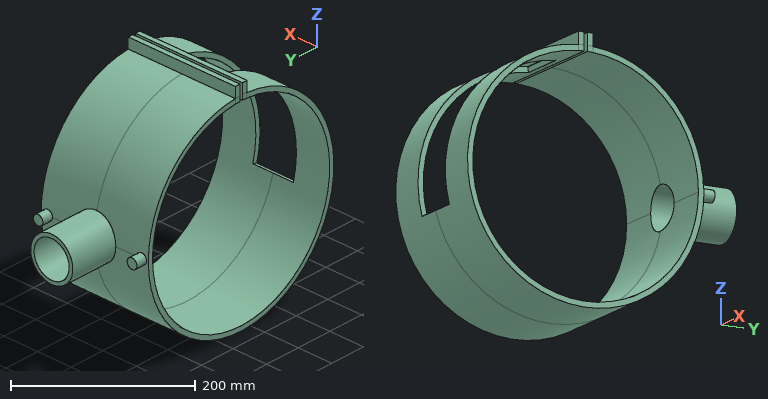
import cadquery as cq
import math

band_width = 160.0
outer_radius = 147.0
wall = 7.0
inner_radius = outer_radius - wall

flange_thickness = 7.2
split_gap = 4.0
flange_top = 161.8

window_width = 60.0
window_low_angle = -15
window_high_angle = 86

pipe_end = 215.0
pipe_diameter = 63.0
bore_diameter = 52.0
pin_diameter = 14.5
pin_end = 162.0
pin_spacing = 140.0


def cylinder_along_x(radius, length):
    return cq.Workplane("YZ").circle(radius).extrude(length / 2, both=True)


def cylinder_along_y(diameter, end, x=0):
    """Cylinder from the plane y = 0 to y = end."""
    return cq.Workplane("XZ").center(x, 0).circle(diameter / 2).extrude(-end)


def window_cutter():
    """Wedge from the ring axis, reaching past the outer wall."""
    reach = 2 * outer_radius

    def rim_point(angle):
        turn = math.radians(angle)
        return (-reach * math.cos(turn), reach * math.sin(turn))

    middle_angle = (window_low_angle + window_high_angle) / 2
    return (
        cq.Workplane("YZ")
        .lineTo(*rim_point(window_low_angle))
        .threePointArc(rim_point(middle_angle), rim_point(window_high_angle))
        .close()
        .extrude(window_width / 2, both=True)
    )


body = cylinder_along_x(outer_radius, band_width)
flange_block = cq.Workplane("XY").box(
    band_width,
    split_gap + 2 * flange_thickness,
    flange_top,
    centered=(True, True, False),
)
body = body.union(flange_block)
body = body.union(cylinder_along_y(pipe_diameter, pipe_end))
for side in (-1, 1):
    body = body.union(cylinder_along_y(pin_diameter, pin_end, side * pin_spacing / 2))

body = body.cut(cylinder_along_x(inner_radius, band_width))
body = body.cut(window_cutter())

split = cq.Workplane("XY").box(band_width, split_gap, flange_top, centered=(True, True, False))
body = body.cut(split)

result = body.cut(cylinder_along_y(bore_diameter, pipe_end))